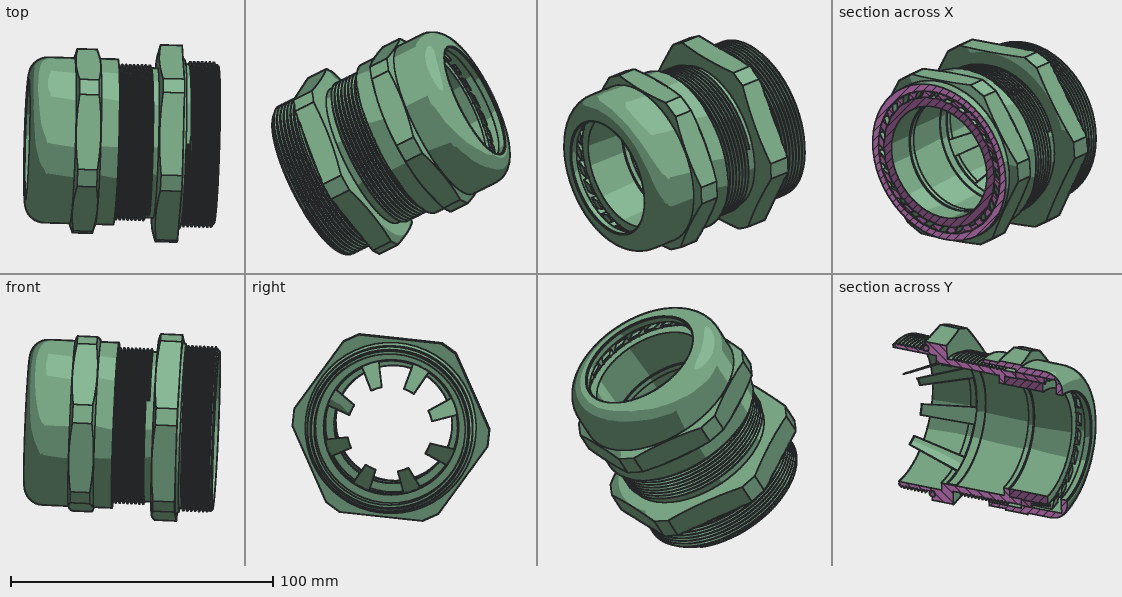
import cadquery as cq
import math


AXIS_DROP = 2.46
AXIS_SWING = 1.66
HEX_TURN = -6.2
FINGER_TURN = 18.2
TOTAL_LENGTH = 72.23

THREAD_PITCH = 1.5
RIDGE_BASE = 0.84 * THREAD_PITCH
RIDGE_CREST = 0.12
RIDGE_OVERLAP = 0.15
TRIM_MARGIN = 1.0
FRONT_CREST_RADIUS = 59.32 / 2
FRONT_THREAD_START = 24.0
FRONT_THREAD_END = 47.3
REAR_CREST_RADIUS = 63.0 / 2
REAR_ROOT_RADIUS = 61.0 / 2
REAR_THREAD_START = 59.65
REAR_THREAD_TURN = 180.0
REAR_END_CHAMFER = 1.2

SEAL_START = 8.4
SEAL_END = 24.8
SEAL_INNER = 44.9 / 2
SEAL_OUTER = 52.16 / 2
CAGE_START = 7.6
CAGE_END = 20.0
CAGE_OUTER = 57.19 / 2
CAGE_SLOTS = 24
CAGE_SLOT_DEPTH = 8.0
CAGE_SLOT_SHARE = 0.3
CAGE_SLOT_SKEW = 45.0
CAGE_SLOT_REACH = 10.0

CAP_RADIUS = 63.2 / 2
CAP_LENGTH = 33.8
CAP_ROUND = 7.4
CAP_MOUTH_RADIUS = 45.12 / 2
CAP_MOUTH_CHAMFER = 0.4
CAP_LIP = 2.8
CAP_BORE_RADIUS = FRONT_CREST_RADIUS + 0.2
CAP_HEX_FLATS = 64.0
CAP_HEX_CORNERS = 69.8
CAP_HEX_START = 17.2
CAP_HEX_LENGTH = 9.7
CAP_HEX_END = CAP_HEX_START + CAP_HEX_LENGTH
CAP_HEX_SLOPE = 18.0

NECK_RADIUS = CAGE_OUTER
BODY_HEX_FLATS = 68.0
BODY_HEX_CORNERS = 74.75
BODY_HEX_START = 49.0
BODY_HEX_LENGTH = 9.2
BODY_HEX_END = BODY_HEX_START + BODY_HEX_LENGTH
BODY_HEX_SLOPE = 15.0
BODY_HEX_FACE_RADIUS = 33.7
BODY_STEP = BODY_HEX_START + 1.0
GRIP_STEP = BODY_HEX_START + 2.0
GRIP_OVERLAP = 1.0
SHOULDER_RADIUS = 45.0 / 2
SHOULDER_CHAMFER = 0.3
SHOULDER_END = 27.2
MIDDLE_BORE_RADIUS = 51.5 / 2
REAR_BORE_START = 54.0
REAR_BORE_RADIUS = 57.64 / 2
HEX_BEVEL_MARGIN = 2.0

ORING_SECTION = 2.4
ORING_OUTER = 32.6

FINGERS = 8
FINGER_ANGLE = 15.2
FINGER_TIP_RADIUS = 16.3
FINGER_TIP = 70.0
CONTACT_START = 47.5
CONTACT_BEND = 51.5
CONTACT_SHEET = 0.3


def turned(points):
    """Revolve an (r, z) outline about the gland axis."""
    return cq.Workplane("XZ").polyline(points).close().revolve(360, (0, 0), (0, 1))


def hexagon(flats, corners, start, length):
    """Hexagonal prism with its six edges planed off at the `corners` width."""
    edge_distance = flats / 2 / math.cos(math.radians(30))
    land_half_width = (edge_distance - corners / 2) / math.tan(math.radians(30))
    spread = math.atan2(land_half_width, corners / 2)
    reach = math.hypot(land_half_width, corners / 2)
    points = []
    for k in range(6):
        edge_direction = math.radians(HEX_TURN + 30 + 60 * k)
        for angle in (edge_direction - spread, edge_direction + spread):
            points.append((reach * math.cos(angle), reach * math.sin(angle)))
    return cq.Workplane("XY").workplane(offset=start).polyline(points).close().extrude(length)


def thread(root, crest, start, end, turn):
    """Helical thread ridge whose foot is sunk a little below the thread root."""
    foot = root - RIDGE_OVERLAP
    helix = cq.Wire.makeHelix(THREAD_PITCH, end - start - RIDGE_BASE, foot)
    ridge = (
        cq.Workplane("XZ")
        .polyline(
            [
                (foot, -RIDGE_BASE / 2),
                (crest, -RIDGE_CREST / 2),
                (crest, RIDGE_CREST / 2),
                (foot, RIDGE_BASE / 2),
            ]
        )
        .close()
        .sweep(cq.Workplane(helix), isFrenet=True)
    )
    return ridge.rotate((0, 0, 0), (0, 0, 1), turn).translate((0, 0, start + RIDGE_BASE / 2))


def make_cap():
    shell = (
        cq.Workplane("XZ")
        .moveTo(CAP_MOUTH_RADIUS, CAP_MOUTH_CHAMFER)
        .lineTo(CAP_MOUTH_RADIUS + CAP_MOUTH_CHAMFER, 0)
        .lineTo(CAP_RADIUS - CAP_ROUND, 0)
        .radiusArc((CAP_RADIUS, CAP_ROUND), -CAP_ROUND)
        .lineTo(CAP_RADIUS, CAP_LENGTH)
        .lineTo(CAP_BORE_RADIUS, CAP_LENGTH)
        .lineTo(CAP_BORE_RADIUS, CAGE_END)
        .lineTo(CAGE_OUTER, CAGE_END)
        .lineTo(CAGE_OUTER, CAP_LIP)
        .lineTo(CAP_MOUTH_RADIUS, CAP_LIP)
        .close()
        .revolve(360, (0, 0), (0, 1))
    )
    reach = CAP_HEX_CORNERS / 2 + HEX_BEVEL_MARGIN
    rise = (reach - CAP_RADIUS) * math.tan(math.radians(CAP_HEX_SLOPE))
    bevelled = turned(
        [
            (CAP_BORE_RADIUS, CAP_HEX_START),
            (CAP_RADIUS, CAP_HEX_START),
            (reach, CAP_HEX_START + rise),
            (reach, CAP_HEX_END - rise),
            (CAP_RADIUS, CAP_HEX_END),
            (CAP_BORE_RADIUS, CAP_HEX_END),
        ]
    )
    grip = hexagon(CAP_HEX_FLATS, CAP_HEX_CORNERS, CAP_HEX_START, CAP_HEX_LENGTH)
    return shell.union(grip.intersect(bevelled))


def make_cage():
    """Sleeve around the seal with skewed slots cut from its front end."""
    sleeve = turned(
        [
            (SEAL_OUTER, CAGE_START),
            (CAGE_OUTER, CAGE_START),
            (CAGE_OUTER, CAGE_END),
            (SEAL_OUTER, CAGE_END),
        ]
    )
    slot_step = 360 / CAGE_SLOTS
    slot_width = CAGE_SLOT_SHARE * SEAL_OUTER * math.radians(slot_step)
    slot = (
        cq.Workplane("XY")
        .box(CAGE_SLOT_REACH, slot_width, CAGE_SLOT_DEPTH, centered=(True, True, False))
        .rotate((0, 0, 0), (0, 0, 1), CAGE_SLOT_SKEW)
        .translate((SEAL_OUTER, 0, CAGE_START))
    )
    for k in range(CAGE_SLOTS):
        sleeve = sleeve.cut(slot.rotate((0, 0, 0), (0, 0, 1), slot_step * (k + 0.5)))
    return sleeve


def make_seal():
    return turned(
        [
            (SEAL_INNER, SEAL_START),
            (SEAL_OUTER, SEAL_START),
            (SEAL_OUTER, SEAL_END),
            (SEAL_INNER, SEAL_END),
        ]
    )


def make_oring():
    ring_radius = ORING_OUTER - ORING_SECTION / 2
    return (
        cq.Workplane("XZ")
        .center(ring_radius, BODY_HEX_END)
        .circle(ORING_SECTION / 2)
        .revolve(360, (-ring_radius, 0), (-ring_radius, 1))
    )


def make_body():
    core = turned(
        [
            (SEAL_OUTER, CAGE_END),
            (NECK_RADIUS, CAGE_END),
            (NECK_RADIUS, BODY_STEP),
            (REAR_ROOT_RADIUS, BODY_STEP),
            (REAR_ROOT_RADIUS, TOTAL_LENGTH - REAR_END_CHAMFER / 2),
            (REAR_ROOT_RADIUS - REAR_END_CHAMFER / 2, TOTAL_LENGTH),
            (REAR_BORE_RADIUS, TOTAL_LENGTH),
            (REAR_BORE_RADIUS, REAR_BORE_START),
            (MIDDLE_BORE_RADIUS, REAR_BORE_START),
            (MIDDLE_BORE_RADIUS, SHOULDER_END),
            (SHOULDER_RADIUS, SHOULDER_END),
            (SHOULDER_RADIUS, SEAL_END + SHOULDER_CHAMFER),
            (SHOULDER_RADIUS + SHOULDER_CHAMFER, SEAL_END),
            (SEAL_OUTER, SEAL_END),
        ]
    )
    reach = BODY_HEX_CORNERS / 2 + HEX_BEVEL_MARGIN
    rise = (reach - BODY_HEX_FACE_RADIUS) * math.tan(math.radians(BODY_HEX_SLOPE))
    bevelled = turned(
        [
            (NECK_RADIUS - GRIP_OVERLAP, BODY_HEX_START),
            (BODY_HEX_FACE_RADIUS, BODY_HEX_START),
            (reach, BODY_HEX_START + rise),
            (reach, BODY_HEX_END),
            (NECK_RADIUS + GRIP_OVERLAP, BODY_HEX_END),
            (NECK_RADIUS + GRIP_OVERLAP, GRIP_STEP),
            (NECK_RADIUS - GRIP_OVERLAP, GRIP_STEP),
        ]
    )
    grip = hexagon(BODY_HEX_FLATS, BODY_HEX_CORNERS, BODY_HEX_START, BODY_HEX_LENGTH)
    front_thread = thread(NECK_RADIUS, FRONT_CREST_RADIUS, FRONT_THREAD_START, FRONT_THREAD_END, 0)
    rear_thread = thread(
        REAR_ROOT_RADIUS, REAR_CREST_RADIUS, REAR_THREAD_START, TOTAL_LENGTH, REAR_THREAD_TURN
    )
    chamfered_end = turned(
        [
            (0, BODY_HEX_START),
            (REAR_CREST_RADIUS + TRIM_MARGIN, BODY_HEX_START),
            (REAR_CREST_RADIUS + TRIM_MARGIN, TOTAL_LENGTH - REAR_END_CHAMFER - TRIM_MARGIN),
            (REAR_CREST_RADIUS - REAR_END_CHAMFER, TOTAL_LENGTH),
            (0, TOTAL_LENGTH),
        ]
    )
    body = core.union(grip.intersect(bevelled)).union(front_thread)
    return body.union(rear_thread.intersect(chamfered_end)).cut(make_oring())


def make_contact():
    """Sheet-metal ring in the middle bore with conical fingers pointing to the rear."""
    sheet = turned(
        [
            (MIDDLE_BORE_RADIUS, CONTACT_START),
            (MIDDLE_BORE_RADIUS, CONTACT_BEND),
            (FINGER_TIP_RADIUS, FINGER_TIP + CONTACT_SHEET),
            (FINGER_TIP_RADIUS, FINGER_TIP),
            (MIDDLE_BORE_RADIUS - CONTACT_SHEET, CONTACT_BEND - CONTACT_SHEET),
            (MIDDLE_BORE_RADIUS - CONTACT_SHEET, CONTACT_START),
        ]
    )
    finger_step = 360 / FINGERS
    reach = 2 * MIDDLE_BORE_RADIUS
    half_width = reach * math.tan(math.radians(finger_step - FINGER_ANGLE) / 2)
    gap = (
        cq.Workplane("XY")
        .workplane(offset=CONTACT_BEND)
        .polyline([(0, 0), (reach, -half_width), (reach, half_width)])
        .close()
        .extrude(TOTAL_LENGTH - CONTACT_BEND)
    )
    for k in range(FINGERS):
        gap_direction = FINGER_TURN + finger_step * (k + 0.5)
        sheet = sheet.cut(gap.rotate((0, 0, 0), (0, 0, 1), gap_direction))
    return sheet


def laid_down(part):
    """Turn local Z onto the gland axis, with the middle of the gland at the origin."""
    return (
        part.translate((0, 0, -TOTAL_LENGTH / 2))
        .rotate((0, 0, 0), (0, 1, 0), 90 + AXIS_DROP)
        .rotate((0, 0, 0), (0, 0, 1), -AXIS_SWING)
    )


cap = laid_down(make_cap())
cage = laid_down(make_cage())
seal = laid_down(make_seal())
body = laid_down(make_body())
oring = laid_down(make_oring())
contact = laid_down(make_contact())

result = cq.Compound.makeCompound(
    [part.solids().val() for part in (cap, cage, seal, body, oring, contact)]
)